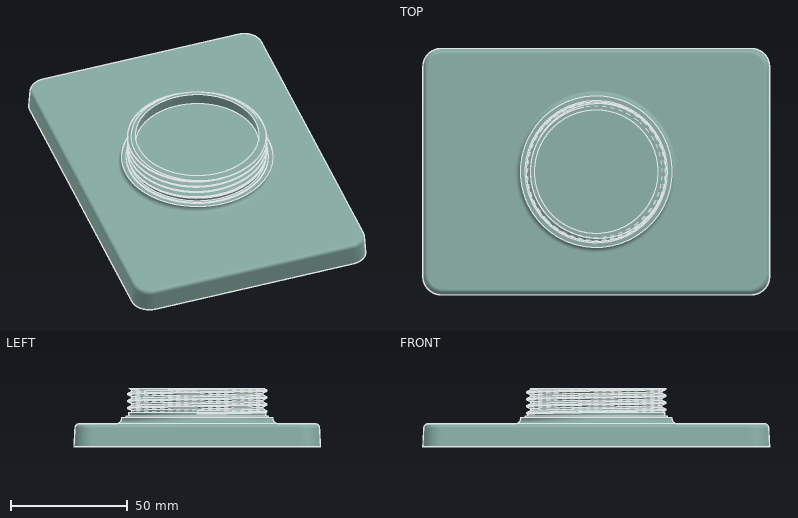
import cadquery as cq
import math

plate_length = 148.7
plate_width = 105.7
plate_height = 10.0
draft_angle = 3.0
plate_corner_radius = 8.0
plate_top_radius = 2.0

flange_diameter = 65.0
flange_height = 2.7
flange_foot_radius = 2.2
collar_diameter = 61.0
collar_height = 0.6

total_height = 25.0
neck_diameter = 56.4
bore_diameter = 53.0
bore_depth = 5.0
base_ring_diameter = 58.9
base_ring_height = 1.5

thread_diameter = 59.8
thread_pitch = 3.0
thread_root_width = 2.2
thread_crest_width = 0.5
thread_root_overlap = 0.3
thread_start_angle = 180.0
thread_start_height = 14.4

flange_top = plate_height + flange_height
collar_top = flange_top + collar_height
base_ring_top = collar_top + base_ring_height


def make_plate():
    """Block tapering upward, with rounded corners and a rounded top rim."""
    block = cq.Workplane("XY").rect(plate_length, plate_width).extrude(plate_height, taper=draft_angle)
    rounded = block.edges("not(#Z)").fillet(plate_corner_radius)
    return rounded.faces(">Z").edges().fillet(plate_top_radius)


def make_neck_blank():
    """Turned flange, collar, base ring and neck, with a concave foot that runs into the plate."""
    flange_radius = flange_diameter / 2
    foot_radius = flange_radius + flange_foot_radius
    foot_top = plate_height + flange_foot_radius
    arc_offset = flange_foot_radius * (1 - math.sqrt(0.5))
    profile = (
        cq.Workplane("XZ")
        .moveTo(0, plate_height)
        .lineTo(foot_radius, plate_height)
        .threePointArc((flange_radius + arc_offset, plate_height + arc_offset), (flange_radius, foot_top))
        .lineTo(flange_radius, flange_top)
        .lineTo(collar_diameter / 2, flange_top)
        .lineTo(collar_diameter / 2, collar_top)
        .lineTo(base_ring_diameter / 2, collar_top)
        .lineTo(base_ring_diameter / 2, base_ring_top)
        .lineTo(neck_diameter / 2, base_ring_top)
        .lineTo(neck_diameter / 2, total_height)
        .lineTo(0, total_height)
        .close()
    )
    return profile.revolve(360, (0, 0, 0), (0, 1, 0))


def make_thread():
    """Trapezoidal helical ridge, cut off flush with the top of the neck."""
    root_radius = neck_diameter / 2
    sweep_height = total_height - thread_start_height + thread_root_width
    ridge_height = thread_diameter / 2 - root_radius
    flank_slope = (thread_root_width - thread_crest_width) / 2 / ridge_height
    inner_half_width = thread_root_width / 2 + flank_slope * thread_root_overlap
    inner_radius = root_radius - thread_root_overlap
    crest_radius = thread_diameter / 2
    crest_half_width = thread_crest_width / 2
    path = cq.Wire.makeHelix(thread_pitch, sweep_height, root_radius)
    ridge = (
        cq.Workplane("XZ")
        .polyline(
            [
                (inner_radius, -inner_half_width),
                (crest_radius, -crest_half_width),
                (crest_radius, crest_half_width),
                (inner_radius, inner_half_width),
            ]
        )
        .close()
        .sweep(cq.Workplane(obj=path), isFrenet=True)
        .rotate((0, 0, 0), (0, 0, 1), thread_start_angle)
        .translate((0, 0, thread_start_height))
    )
    above_neck = (
        cq.Workplane("XY", origin=(0, 0, total_height)).circle(thread_diameter).extrude(sweep_height)
    )
    return ridge.cut(above_neck)


def make_bore():
    """Blind round recess in the top of the neck."""
    top_plane = cq.Workplane("XY", origin=(0, 0, total_height))
    return top_plane.circle(bore_diameter / 2).extrude(-bore_depth)


def make_cover():
    """Plate and threaded neck as one body."""
    return make_plate().union(make_neck_blank()).union(make_thread()).cut(make_bore())


cover = make_cover()

result = cq.Compound.makeCompound([*cover.solids().vals()])